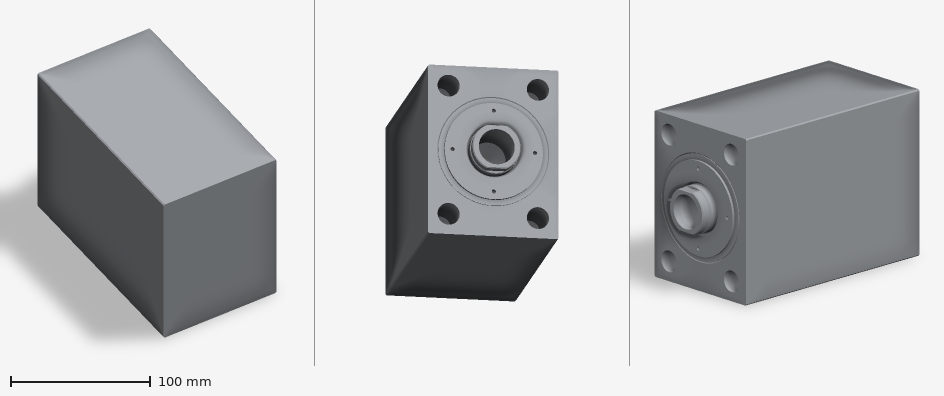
import cadquery as cq
import math

total_length = 185.0
block_width = 95.0
block_height = 125.0
block_edge_chamfer = 1.0

rod_tip_length = 7.0
block_front = 14.0
boss_height = 2.0
rod_diameter = 36.0
rod_tip_diameter = 35.0
rod_flat_width = 32.0
rod_tip_chamfer = 0.7
rod_shoulder_chamfer = 0.5
rod_socket_diameter = 26.0
rod_socket_depth = 37.0

gland_diameter = 80.0
gland_depth = 55.5
boss_diameter = 71.5
recess_chamfer = 0.7
rod_relief_diameter = 37.4
rod_relief_depth = 3.7
rod_relief_chamfer = 1.3
spanner_hole_diameter = 3.0
spanner_hole_depth = 3.7
spanner_hole_radius = 30.0
spanner_hole_count = 4

mount_hole_diameter = 16.1
mount_hole_depth = 37.0
mount_spacing_y = 65.0
mount_spacing_z = 95.0

drill_point_angle = 118.0

gland_back = block_front + gland_depth
boss_front = block_front - boss_height

def disc(diameter, start_x, end_x):
    """Cylinder about the X axis between two stations."""
    plane = cq.Workplane("YZ", origin=(start_x, 0, 0))
    return plane.circle(diameter / 2).extrude(end_x - start_x)

def drill(diameter, start_x, depth, y=0.0, z=0.0):
    """Drilled hole along +X: straight to the given depth, then a conical point."""
    radius = diameter / 2
    point_length = radius / math.tan(math.radians(drill_point_angle / 2))
    profile = (
        cq.Workplane("XY")
        .moveTo(start_x, 0)
        .lineTo(start_x, radius)
        .lineTo(start_x + depth, radius)
        .lineTo(start_x + depth + point_length, 0)
        .close()
    )
    return profile.revolve(360, (0, 0, 0), (1, 0, 0)).translate((0, y, z))

def countersink(diameter, start_x, size):
    """45 degree cone that breaks the front edge of a bore of the given diameter."""
    front = cq.Workplane("YZ", origin=(start_x, 0, 0)).circle(diameter / 2 + size)
    return front.extrude(size, taper=45)

def make_housing():
    """Block with chamfered long edges, a gland recess and four mounting holes."""
    block = (
        cq.Workplane("XY")
        .box(total_length - block_front, block_width, block_height, centered=(False, True, True))
        .translate((block_front, 0, 0))
        .edges("|X")
        .chamfer(block_edge_chamfer)
    )
    block = block.cut(disc(gland_diameter, block_front, gland_back))
    block = block.cut(countersink(gland_diameter, block_front, recess_chamfer))
    for y in (-mount_spacing_y / 2, mount_spacing_y / 2):
        for z in (-mount_spacing_z / 2, mount_spacing_z / 2):
            block = block.cut(drill(mount_hole_diameter, block_front, mount_hole_depth, y, z))
    return block

def make_gland():
    """Flush ring with a raised boss, a rod bore relieved at its mouth, and spanner holes."""
    gland = disc(gland_diameter, block_front, gland_back)
    gland = gland.union(disc(boss_diameter, boss_front, block_front))
    gland = gland.cut(disc(rod_diameter, boss_front, gland_back))
    gland = gland.cut(disc(rod_relief_diameter, boss_front, boss_front + rod_relief_depth))
    gland = gland.cut(countersink(rod_relief_diameter, boss_front, rod_relief_chamfer))
    for index in range(spanner_hole_count):
        angle = 2 * math.pi * index / spanner_hole_count
        y = spanner_hole_radius * math.cos(angle)
        z = spanner_hole_radius * math.sin(angle)
        gland = gland.cut(drill(spanner_hole_diameter, boss_front, spanner_hole_depth, y, z))
    return gland

def make_rod():
    """Stepped rod with two wrench flats on its tip and a central socket."""
    shank = disc(rod_diameter, rod_tip_length, gland_back).faces("<X").chamfer(rod_shoulder_chamfer)
    flats = cq.Workplane("XY").box(2 * rod_tip_length, rod_tip_diameter, rod_flat_width)
    tip = disc(rod_tip_diameter, 0, rod_tip_length).intersect(flats)
    rod = shank.union(tip.faces("<X").chamfer(rod_tip_chamfer))
    return rod.cut(drill(rod_socket_diameter, 0, rod_socket_depth))

housing = make_housing()
gland = make_gland()
rod = make_rod()

result = cq.Compound.makeCompound(
    [housing.solids().val(), gland.solids().val(), rod.solids().val()]
)